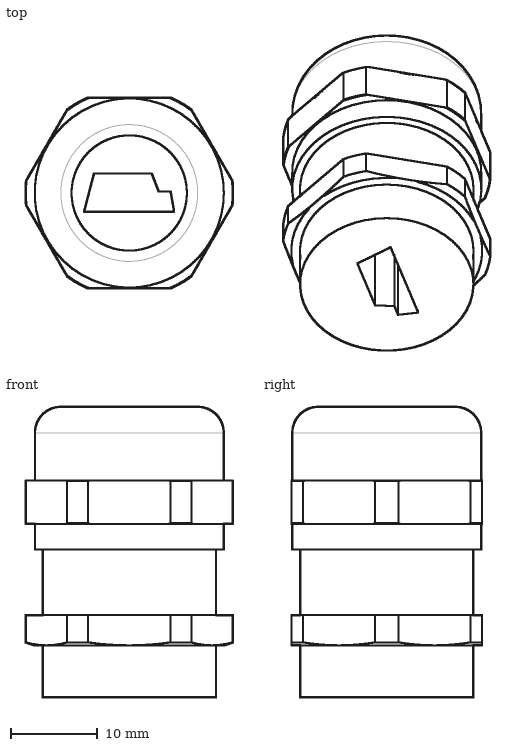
import cadquery as cq
import math

total_height = 33.5
locknut_bottom = 6.0
locknut_top = 9.48
cap_bottom = 17.02
cap_hex_bottom = 20.0
cap_hex_top = 25.0

body_diameter = 20.0
cap_diameter = 21.8
cap_rim_radius = 3.0

across_flats = 22.0
corner_diameter = 24.0
locknut_bevel_height = 0.35
cap_hex_bevel = 0.07

recess_diameter = 13.3
recess_depth = 2.5
passage_front = -2.15
passage_step = 0.17
passage_back = 2.25
passage_outline = [
    (-5.2, passage_front),
    (5.15, passage_front),
    (4.75, passage_step),
    (3.4, passage_step),
    (2.58, passage_back),
    (-4.05, passage_back),
]


def cylinder(diameter, bottom, top):
    return cq.Workplane("XY").workplane(offset=bottom).circle(diameter / 2).extrude(top - bottom)


def hexagon(bottom, top):
    """Hexagonal prism with two flats facing -Y and +Y."""
    across_corners = across_flats / math.cos(math.radians(30))
    return cq.Workplane("XY").workplane(offset=bottom).polygon(6, across_corners).extrude(top - bottom)


def make_body():
    return cylinder(body_diameter, 0, total_height - recess_depth)


def make_locknut():
    """Hexagon nut with a shallow cone on its lower face, starting at the flats."""
    bevel_width = (corner_diameter - across_flats) / 2
    turned_blank = cylinder(corner_diameter, locknut_bottom, locknut_top)
    turned_blank = turned_blank.faces("<Z").chamfer(locknut_bevel_height, bevel_width)
    return hexagon(locknut_bottom, locknut_top).intersect(turned_blank)


def make_cap():
    """Domed cap with a wrench hexagon bevelled at both ends."""
    dome = cylinder(cap_diameter, cap_bottom, total_height).faces(">Z").edges().fillet(cap_rim_radius)
    turned_blank = cylinder(corner_diameter, cap_hex_bottom, cap_hex_top)
    turned_blank = turned_blank.faces("<Z or >Z").chamfer(cap_hex_bevel)
    return dome.union(hexagon(cap_hex_bottom, cap_hex_top).intersect(turned_blank))


recess = cylinder(recess_diameter, total_height - recess_depth, total_height)
passage = cq.Workplane("XY").polyline(passage_outline).close().extrude(total_height)

result = make_body().union(make_locknut()).union(make_cap()).cut(recess).cut(passage)